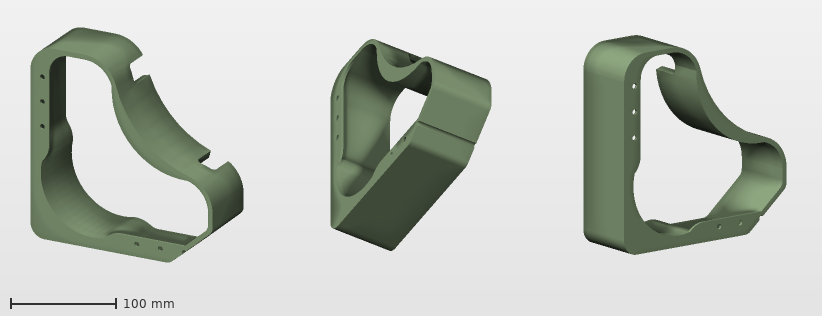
import cadquery as cq
import math

size = 195.8
depth = 63.0
wall = 4.9
flange_thickness = 2.5

top_left_radius = 25.0
bottom_left_radius = 15.0
lobe_radius = 34.8
lobe_center = (58.3, size - lobe_radius)
saddle_center = 199.7
slope_angle = math.radians(40.6)
slope_foot = 149.4
slope_corner_radius = 9.8

flange_width = 20.0
opening_corner_radius = 20.7
inner_saddle_middle = 110.2
bulge_center = 66.8
bulge_radius = 55.5
lip_arc_start = 96.5
lip_arc_radius = 23.9

blend_start = 79.3
blend_inflection = (95.7, 7.6)
blend_end = 104.5

hole_diameter = 5.3
hole_inset = 12.7
hole_spacing = 25.3
first_hole = 114.3
groove_radius = 2.3
groove_x = 165.2
slot_width = 20.0
slot_depth = 29.8
slot_corner_radius = 5.0
slot_reach_in = 15.7
slot_reach_out = 7.8


def mirrored(point):
    """Reflect a point about the X = Z diagonal."""
    return point[1], point[0]


def on_circle(center, radius, angle):
    return center[0] + radius * math.cos(angle), center[1] + radius * math.sin(angle)


def slope_point_at_z(z, inset=0.0):
    """Point on the sloped side, moved inward by the inset."""
    return slope_foot - inset / math.sin(slope_angle) + z / math.tan(slope_angle), z


def slope_point_at_x(x, inset=0.0):
    rise = (x - slope_foot) * math.tan(slope_angle)
    return x, rise + inset / math.cos(slope_angle)


def prism(profile, start, length):
    """Extrude a closed XZ profile along +Y from the given Y."""
    return profile.close().extrude(-length).translate((0, start, 0))


def round_edges(body, point, radius):
    """Round the depth-wise edge that passes through an XZ point."""
    x, z = point
    reach = 0.1
    box = cq.selectors.BoxSelector((x - reach, -2, z - reach), (x + reach, depth + 2, z + reach))
    return body.edges(box).fillet(radius)


junction_angle = math.atan2(saddle_center - lobe_center[1], saddle_center - lobe_center[0])
junction = on_circle(lobe_center, lobe_radius, junction_angle)
lobe_middle_angle = (junction_angle + math.pi / 2) / 2
saddle_radius = math.dist(lobe_center, (saddle_center, saddle_center)) - lobe_radius
saddle_middle = saddle_center - saddle_radius / math.sqrt(2)


def trace_lobes_and_saddle(profile, radius, saddle_mid):
    """From the top edge, follow lobe, saddle and second lobe to the right side."""
    middle = on_circle(lobe_center, radius, lobe_middle_angle)
    end = on_circle(lobe_center, radius, junction_angle)
    far_end = (lobe_center[1] + radius, lobe_center[0])
    return (
        profile.threePointArc(middle, end)
        .threePointArc((saddle_mid, saddle_mid), mirrored(end))
        .threePointArc(mirrored(middle), far_end)
    )


def make_outer():
    profile = cq.Workplane("XZ").moveTo(0, 0).lineTo(0, size).lineTo(lobe_center[0], size)
    profile = trace_lobes_and_saddle(profile, lobe_radius, saddle_middle)
    profile = profile.lineTo(*slope_point_at_x(size)).lineTo(slope_foot, 0)
    body = prism(profile, 0, depth)
    body = round_edges(body, (0, size), top_left_radius)
    body = round_edges(body, (0, 0), bottom_left_radius)
    body = round_edges(body, slope_point_at_x(size), slope_corner_radius)
    return round_edges(body, (slope_foot, 0), slope_corner_radius)


def make_void(side, corner_radius, trace_to_bulge, trace_from_bulge, start):
    """Inner volume whose left and bottom edges lie a given distance inside the part."""
    inner = size - wall
    profile = cq.Workplane("XZ").moveTo(side, inner).lineTo(lobe_center[0], inner)
    profile = trace_lobes_and_saddle(profile, lobe_radius - wall, inner_saddle_middle)
    right_corner = slope_point_at_x(inner, wall)
    profile = profile.lineTo(*right_corner).lineTo(*slope_point_at_z(side, wall))
    bulge_middle = bulge_center - bulge_radius / math.sqrt(2)
    profile, bulge_start = trace_to_bulge(profile)
    profile = profile.threePointArc((bulge_middle, bulge_middle), mirrored(bulge_start))
    body = prism(trace_from_bulge(profile, bulge_start), start, depth - start)
    body = round_edges(body, (side, inner), corner_radius)
    return round_edges(body, right_corner, slope_corner_radius)


def lip_meets_bulge():
    """Intersection of the lip arc and the bulge circle, on the upper side."""
    dx = lip_arc_start - bulge_center
    dz = flange_width - lip_arc_radius - bulge_center
    gap = math.hypot(dx, dz)
    cosine = (gap**2 + bulge_radius**2 - lip_arc_radius**2) / (2 * gap * bulge_radius)
    angle = math.atan2(dz, dx) - math.acos(cosine)
    return on_circle((bulge_center, bulge_center), bulge_radius, angle)


def lip_to_bulge(profile):
    start = lip_meets_bulge()
    profile = profile.lineTo(lip_arc_start, flange_width).radiusArc(start, -lip_arc_radius)
    return profile, start


def bulge_to_lip(profile, bulge_start):
    return profile.radiusArc((flange_width, lip_arc_start), -lip_arc_radius)


def blend_to_bulge(profile):
    drop = math.sqrt(bulge_radius**2 - (blend_start - bulge_center) ** 2)
    start = (blend_start, bulge_center - drop)
    profile = profile.lineTo(blend_end, wall).tangentArcPoint(blend_inflection, relative=False)
    return profile.tangentArcPoint(start, relative=False), start


def bulge_to_blend(profile, bulge_start):
    """Repeat the bottom blend on the left side."""
    bottom = blend_to_bulge(cq.Workplane("XZ").moveTo(slope_foot, wall))[0]
    upper_arc = bottom.ctx.pendingEdges[-1]
    lower_arc = bottom.ctx.pendingEdges[-2]
    for arc, end in ((upper_arc, blend_inflection), (lower_arc, (blend_end, wall))):
        middle = arc.positionAt(0.5)
        profile = profile.threePointArc((middle.z, middle.x), mirrored(end))
    return profile


def make_holes():
    along = [first_hole + i * hole_spacing for i in range(3)]
    centers = [(hole_inset, z) for z in along] + [(x, hole_inset) for x in along[:2]]
    return cq.Workplane("XZ").pushPoints(centers).circle(hole_diameter / 2).extrude(-flange_thickness)


def make_groove():
    return cq.Workplane("XZ").center(*slope_point_at_x(groove_x)).circle(groove_radius).extrude(-depth)


def make_slot(center, angle):
    """Rear-edge slot cut along the wall normal, with rounded inner corners."""
    length = slot_reach_in + slot_reach_out
    slot = cq.Workplane("XY").box(length, slot_depth, slot_width, centered=(False, False, True))
    slot = slot.edges("|X and <Y").fillet(slot_corner_radius)
    slot = slot.translate((-slot_reach_in, depth - slot_depth, 0))
    slot = slot.rotate((0, 0, 0), (0, 1, 0), -math.degrees(angle))
    return slot.translate((center[0], 0, center[1]))


opening = make_void(flange_width, opening_corner_radius, lip_to_bulge, bulge_to_lip, 0)
cavity = make_void(wall, top_left_radius - wall, blend_to_bulge, bulge_to_blend, flange_thickness)
cavity = round_edges(cavity, slope_point_at_z(wall, wall), slope_corner_radius)

result = make_outer().cut(opening).cut(cavity).cut(make_holes()).cut(make_groove())
result = result.cut(make_slot(junction, junction_angle))
result = result.cut(make_slot(mirrored(junction), math.pi / 2 - junction_angle))